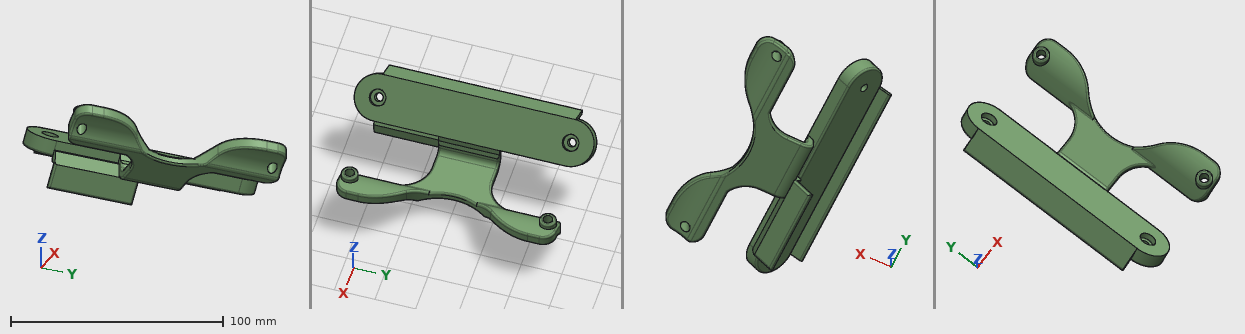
import cadquery as cq
import math


bar_length = 117.6
bar_width = 22.6
bar_thickness = 7.8
bar_tilt = 43.0
bar_edge_x = 27.9
bar_edge_z = 14.3
bar_bottom_fillet = 0.9
end_radius = bar_width / 2
straight_length = bar_length - bar_width

screw_diameter = 4.1
seat_diameter = 8.0
seat_depth = 3.0

flange_length = 13.4
flange_thickness = 2.4
flange_tilt = 29.0
flange_edge_fillet = 0.9

tab_start_y = -4.5
tab_end_y = -straight_length / 2
tab_thickness = 2.0
tab_offset = 4.0
tab_length = 12.1
tab_edge_fillet = 0.9
lip_drop = 2.1
lip_top_depth = 4.5

plate_thickness = 4.4
edge_fillet = 0.9
hub_half_width = 14.9
bend_inner_radius = 2.6
bend_outer_radius = bend_inner_radius + plate_thickness
bend_center_x = 31.4
hub_wall_top = 8.9
hub_root_z = 11.0
hub_flare_x = 38.5
hub_flare_radius = 14.9
hub_end_x = 53.0

arm_left_x = 51.5
arm_right_x = 71.0
arm_start_y = 11.8
hub_overlap = 1.2
arm_end_y = 53.9
arm_corner_radius = 6.4
arm_thickness = 5.8
heel_radius = 2.4
arm_bend_radius = 19.8
arm_bend_center_x = 69.1
arm_bend_center_z = -7.4
notch_x = 52.2
notch_radius = 27.6
shoulder_y = 41.7

boss_x = 61.0
boss_y = 48.8
boss_diameter = 8.0
boss_hole_diameter = 4.5
boss_top = 14.6
boss_edge_fillet = 0.9

tilt = math.radians(bar_tilt)
bar_plane = cq.Plane(
    origin=(bar_edge_x, 0, bar_edge_z),
    xDir=(math.cos(tilt), 0, -math.sin(tilt)),
    normal=(math.sin(tilt), 0, math.cos(tilt)),
)
section_plane = cq.Plane(
    origin=(bar_edge_x, 0, bar_edge_z),
    xDir=(math.cos(tilt), 0, -math.sin(tilt)),
    normal=(0, -1, 0),
)


def make_bar():
    bar = (
        cq.Workplane(bar_plane)
        .center(-end_radius, 0)
        .slot2D(bar_length, bar_width, 90)
        .extrude(-bar_thickness)
    )
    return bar.faces(cq.DirectionMinMaxSelector(bar_plane.zDir, False)).edges().fillet(bar_bottom_fillet)


def cut_screw_seats(body):
    for side in (-1, 1):
        seat = cq.Workplane(bar_plane).center(-end_radius, side * straight_length / 2)
        body = body.cut(seat.circle(screw_diameter / 2).extrude(-bar_thickness))
        body = body.cut(seat.circle(seat_diameter / 2).extrude(-seat_depth))
    return body


def make_flange():
    turn = math.radians(bar_tilt + flange_tilt)
    along = (-math.cos(turn), -math.sin(turn))
    across = (math.sin(turn), -math.cos(turn))
    tip = (-bar_width + flange_length * along[0], flange_length * along[1])
    tip_lower = (tip[0] + flange_thickness * across[0], tip[1] + flange_thickness * across[1])
    reach = flange_thickness / math.sin(turn)
    flange = (
        cq.Workplane(section_plane)
        .polyline([(-bar_width, 0), tip, tip_lower, (-bar_width + reach, 0)])
        .close()
        .extrude(straight_length / 2, both=True)
    )
    return flange.faces("<X").edges("|Y").fillet(flange_edge_fillet)


def make_tab():
    lip_bottom = -bar_thickness - lip_drop
    tab_bottom = lip_bottom - tab_length
    tab_far = tab_offset + tab_thickness
    nose = lip_drop * (1 - math.sqrt(0.5))
    tab = (
        cq.Workplane(section_plane)
        .workplane(offset=-tab_start_y)
        .moveTo(0, -lip_top_depth)
        .lineTo(0, -bar_thickness)
        .threePointArc((nose, lip_bottom + nose), (lip_drop, lip_bottom))
        .lineTo(tab_offset, lip_bottom)
        .lineTo(tab_offset, tab_bottom)
        .lineTo(tab_far, tab_bottom)
        .lineTo(tab_far, lip_bottom)
        .lineTo(lip_drop, -lip_top_depth)
        .close()
        .extrude(tab_start_y - tab_end_y)
    )
    far_edges = tab.faces("<Z").edges("|Y and <Z")
    side_edges = tab.faces(cq.DirectionMinMaxSelector(section_plane.xDir)).edges("not |Y")
    return tab.newObject(far_edges.vals() + side_edges.vals()).fillet(tab_edge_fillet)


def make_hub():
    corner = math.sqrt(0.5)
    inner_x = bend_center_x - bend_inner_radius
    outer_x = bend_center_x - bend_outer_radius
    bend_z = bend_outer_radius
    profile = (
        cq.Workplane("XZ")
        .moveTo(arm_right_x, 0)
        .lineTo(bend_center_x, 0)
        .threePointArc(
            (bend_center_x - bend_outer_radius * corner, bend_z - bend_outer_radius * corner),
            (outer_x, bend_z),
        )
        .lineTo(outer_x, hub_root_z)
        .lineTo(bar_edge_x, bar_edge_z)
        .lineTo(bar_edge_x, hub_root_z)
        .lineTo(inner_x, hub_wall_top)
        .lineTo(inner_x, bend_z)
        .threePointArc(
            (bend_center_x - bend_inner_radius * corner, bend_z - bend_inner_radius * corner),
            (bend_center_x, plate_thickness),
        )
        .lineTo(arm_right_x, plate_thickness)
        .close()
        .extrude(bar_length / 2, both=True)
    )
    flare_angle = math.asin((hub_end_x - hub_flare_x) / hub_flare_radius)

    def flare_point(angle, side):
        x = hub_flare_x + hub_flare_radius * math.sin(angle)
        y = hub_half_width + hub_flare_radius * (1 - math.cos(angle))
        return (x, side * y)

    toe = notch_point(arm_start_y + hub_overlap)
    outline = (
        cq.Workplane("XY")
        .moveTo(0, -hub_half_width)
        .lineTo(hub_flare_x, -hub_half_width)
        .threePointArc(flare_point(flare_angle / 2, -1), flare_point(flare_angle, -1))
        .lineTo(toe[0], -toe[1])
        .threePointArc((notch_x, 0), toe)
        .lineTo(*flare_point(flare_angle, 1))
        .threePointArc(flare_point(flare_angle / 2, 1), (hub_flare_x, hub_half_width))
        .lineTo(0, hub_half_width)
        .close()
        .extrude(bar_length)
    )
    hub = profile.intersect(outline)
    wall_box = cq.selectors.BoxSelector((0, -bar_length, bend_z), (bar_length, bar_length, hub_root_z))
    wall_edges = hub.edges("|Z").edges(wall_box)
    return hub.edges("%CIRCLE or |X").add(wall_edges).fillet(edge_fillet)


def notch_point(y):
    return (notch_x + notch_radius - math.sqrt(notch_radius**2 - y**2), y)


def arm_surface(x, radius):
    return (x, arm_bend_center_z + math.sqrt(radius**2 - (x - arm_bend_center_x) ** 2))


def make_arm():
    underside_radius = arm_bend_radius - arm_thickness
    middle_x = (arm_left_x + arm_right_x) / 2
    heel_x = arm_bend_center_x - math.sqrt(underside_radius**2 - arm_bend_center_z**2)
    profile = (
        cq.Workplane("XZ")
        .moveTo(arm_left_x, 0)
        .lineTo(*arm_surface(arm_left_x, arm_bend_radius))
        .threePointArc(arm_surface(middle_x, arm_bend_radius), arm_surface(arm_right_x, arm_bend_radius))
        .lineTo(*arm_surface(arm_right_x, underside_radius))
        .threePointArc(arm_surface((heel_x + arm_right_x) / 2, underside_radius), (heel_x, 0))
        .close()
        .extrude(-bar_length)
    )
    profile = profile.edges("|Y and <Z").edges(">X").fillet(heel_radius)
    notch_center_x = notch_x + notch_radius
    shift = notch_center_x - arm_right_x
    shoulder_radius = (notch_radius**2 - shift**2 - shoulder_y**2) / (2 * (shift - notch_radius))
    shoulder_center_x = arm_right_x - shoulder_radius
    share = notch_radius / (notch_radius + shoulder_radius)
    turn_x = notch_center_x + share * (shoulder_center_x - notch_center_x)
    turn_y = share * shoulder_y
    middle_angle = math.atan2(turn_y - shoulder_y, turn_x - shoulder_center_x) / 2
    shoulder_middle = (
        shoulder_center_x + shoulder_radius * math.cos(middle_angle),
        shoulder_y + shoulder_radius * math.sin(middle_angle),
    )
    outline = (
        cq.Workplane("XY")
        .moveTo(arm_left_x, arm_start_y)
        .lineTo(*notch_point(arm_start_y))
        .threePointArc(notch_point((arm_start_y + turn_y) / 2), (turn_x, turn_y))
        .threePointArc(shoulder_middle, (arm_right_x, shoulder_y))
        .lineTo(arm_right_x, arm_end_y)
        .lineTo(arm_left_x, arm_end_y)
        .close()
        .extrude(bar_length)
    )
    outline = outline.edges("|Z and >Y").fillet(arm_corner_radius)
    arm = profile.intersect(outline)
    arm = arm.edges("not (|Z or <Y or <X)").fillet(edge_fillet)
    return arm.union(make_boss()).cut(boss_hole())


def make_boss():
    base_z = arm_surface(boss_x, arm_bend_radius - arm_thickness / 2)[1]
    boss = (
        cq.Workplane("XY", origin=(boss_x, boss_y, base_z))
        .circle(boss_diameter / 2)
        .extrude(boss_top - base_z)
    )
    return boss.faces(">Z").edges().fillet(boss_edge_fillet)


def boss_hole():
    return cq.Workplane("XY", origin=(boss_x, boss_y, 0)).circle(boss_hole_diameter / 2).extrude(boss_top)


def make_frame():
    arm = make_arm()
    frame = make_hub().union(arm).union(arm.mirror("XZ"))
    low = plate_thickness - edge_fillet / 2
    high = plate_thickness + edge_fillet / 2
    valley_box = cq.selectors.BoxSelector((arm_left_x, -arm_end_y, low), (boss_x, arm_end_y, high))
    return frame.edges("|Y").edges(valley_box).fillet(edge_fillet)


bar = make_bar().union(make_flange()).union(make_tab())
result = cut_screw_seats(bar.union(make_frame()))